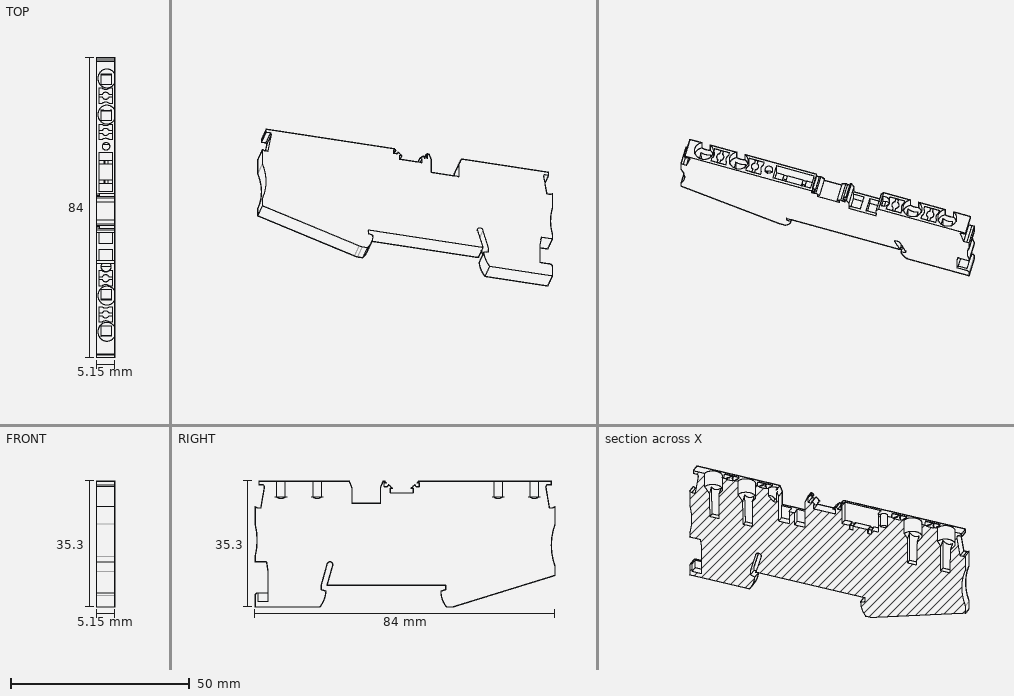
import cadquery as cq

thickness = 5.15
length = 84.0
height = 35.25

cavity_width = 3.7
cavity_center_x = 2.58

lip_inset = 1.1
lip_bottom_z = 34.2
recess_top_inset = 2.6
recess_corner_inset = 2.35
recess_top_z = 33.7
recess_bottom_inset = 1.6
recess_bottom_z = 27.8
shoulder_inset = 0.7
shoulder_z = 28.1

hollow_top_z = 23.2
tail_hollow_bottom_z = 11.4
tail_hollow_depth = 1.05
foot_hollow_bottom_z = 14.2
foot_hollow_depth = 0.55

channel_center_y = 41.05
channel_floor_z = 31.95
channel_half_width = 3.2
channel_ledge_z = 33.2
channel_ledge_offset = 2.55
rib_peak_offset = 3.65
rib_base_offset = 4.1
rib_peak_z = 34.25
groove_floor_z = 33.7
groove_wall_offset = 4.9
barb_tip_offset = 4.3
barb_top_offset = 4.75
barb_tip_z = 34.75
barb_thickness = 0.85

bay_start_y = 27.15
bay_end_y = 35.05
bay_floor_z = 29.1
bay_mouth_z = 33.4
bay_mouth_chamfer = 0.75

tail_bottom_z = 8.85
rail_seat_z = 6.1
rail_start_y = 18.55
rail_end_y = 53.3
hook_neck_z = 4.9
hook_tip_z = 4.5
tail_heel_y = 56.0
tail_heel_z = 0.2
tail_heel_mid_y = 55.55
tail_heel_mid_z = 0.05
tail_heel_end_y = 55.1
tail_toe_y = 53.6
tail_hook_mid_y = 52.5
tail_hook_mid_z = 1.8
tail_hook_tip_y = 52.0
foot_start_y = 18.2
foot_hook_mid_y = 19.4
foot_hook_mid_z = 2.2
foot_hook_tip_y = 19.9
slit_root_y = 20.1
slit_top_start_y = 20.15
slit_top_end_y = 21.75
slit_top_z = 11.85
slit_tip_y = 20.95
slit_tip_z = 12.65
foot_notch_depth = 3.6
foot_notch_top_z = 12.65
foot_notch_bottom_z = 4.0
foot_notch_radius = 0.8
foot_notch_relief = 0.4
foot_notch_relief_z = 10.0

outer_funnel_inset_tail = 5.85
outer_funnel_inset_foot = 7.25
funnel_pitch = 10.13
funnel_center_x = 2.93
funnel_radius_x = 2.48
funnel_radius_y = 2.66
funnel_collar_depth = 4.5
funnel_cone_depth = 2.0
funnel_tip_scale = 0.45
throat_center_x = 2.69
throat_size_x = 2.95
throat_size_y = 3.05
throat_shift = 0.13
throat_lean = 0.4
throat_depth = 14.0

button_offset = 4.85
button_length = 4.3
button_recess = 0.1
button_end_radius = 1.5
button_end_sag = 0.4
button_slot_width = 0.75
button_hole_radius = 1.0
button_slot_depth = 0.3

test_hole_x = 2.7
test_hole_y = 59.15
test_hole_radius = 1.05
test_hole_depth = 4.0
test_hole_ramp_start = 0.5
probe_hole_y = 25.5
probe_hole_radius = 1.4
probe_hole_depth = 4.0
probe_flat_offset = 0.8

jumper_slot_start_y = 46.45
jumper_slot_end_y = 57.4
jumper_slot_depth = 6.0
bay_pocket_length = 3.1
bay_pocket_depth = 4.0
foot_pocket_start_x = 0.6
foot_pocket_depth = 2.5

contact_first_y = 54.75
contact_pitch = 5.55
contact_length = 1.0
contact_pad_depth = 0.3
contact_groove_start_x = 2.1
contact_groove_bottom_x = 2.4
contact_groove_end_x = 3.3
contact_groove_depth = 1.2


def channel_side(side):
    """Snap edges of one channel flank, from the top surface to the floor (side = +1 or -1)."""
    offsets = [
        (barb_top_offset, height),
        (barb_tip_offset, barb_tip_z),
        (groove_wall_offset, barb_tip_z),
        (groove_wall_offset, groove_floor_z),
        (rib_base_offset, groove_floor_z),
        (rib_peak_offset, rib_peak_z),
        (channel_ledge_offset, channel_ledge_z),
        (channel_half_width, channel_ledge_z),
        (channel_half_width, channel_floor_z),
    ]
    return [(channel_center_y + side * offset, z) for offset, z in offsets]


def end_wall(end_y, inward):
    """Lip, recess and shoulder of one end wall, from the top down (inward = +1 or -1)."""
    insets = [
        (lip_inset, height),
        (lip_inset, lip_bottom_z),
        (recess_corner_inset, lip_bottom_z),
        (recess_top_inset, recess_top_z),
        (recess_bottom_inset, recess_bottom_z),
        (shoulder_inset, recess_bottom_z),
        (0, shoulder_z),
        (0, hollow_top_z),
    ]
    return [(end_y + inward * inset, z) for inset, z in insets]


def add_lines(sketch, points):
    for y, z in points:
        sketch = sketch.lineTo(y, z)
    return sketch


def housing_body():
    tail_wall = end_wall(length, -1)
    foot_wall = end_wall(0, 1)
    outline = cq.Workplane("YZ").moveTo(*tail_wall[0])
    outline = add_lines(outline, tail_wall[1:])

    tail_hollow_mid_z = (hollow_top_z + tail_hollow_bottom_z) / 2
    outline = outline.threePointArc(
        (length - tail_hollow_depth, tail_hollow_mid_z), (length, tail_hollow_bottom_z)
    )
    outline = outline.lineTo(length, tail_bottom_z).lineTo(tail_heel_y, tail_heel_z)
    outline = outline.threePointArc((tail_heel_mid_y, tail_heel_mid_z), (tail_heel_end_y, 0))
    outline = outline.lineTo(tail_toe_y, 0)
    outline = outline.threePointArc(
        (tail_hook_mid_y, tail_hook_mid_z), (tail_hook_tip_y, hook_tip_z)
    )
    outline = outline.lineTo(rail_end_y, hook_neck_z).lineTo(rail_end_y, rail_seat_z)

    outline = outline.lineTo(slit_root_y, rail_seat_z).lineTo(slit_top_end_y, slit_top_z)
    outline = outline.threePointArc((slit_tip_y, slit_tip_z), (slit_top_start_y, slit_top_z))
    outline = outline.lineTo(rail_start_y, rail_seat_z).lineTo(rail_start_y, hook_neck_z)
    outline = outline.lineTo(foot_hook_tip_y, hook_tip_z)
    outline = outline.threePointArc((foot_hook_mid_y, foot_hook_mid_z), (foot_start_y, 0))
    outline = outline.lineTo(0, 0)
    outline = outline.lineTo(0, foot_notch_bottom_z - foot_notch_radius)
    outline = outline.tangentArcPoint((foot_notch_radius, foot_notch_bottom_z), relative=False)
    outline = outline.lineTo(foot_notch_depth, foot_notch_bottom_z)
    outline = outline.lineTo(foot_notch_depth, foot_notch_relief_z)
    outline = outline.lineTo(foot_notch_depth - foot_notch_relief, foot_notch_top_z)
    outline = outline.lineTo(0, foot_notch_top_z).lineTo(0, foot_hollow_bottom_z)
    foot_hollow_mid_z = (hollow_top_z + foot_hollow_bottom_z) / 2
    outline = outline.threePointArc((foot_hollow_depth, foot_hollow_mid_z), (0, hollow_top_z))
    outline = add_lines(outline, foot_wall[-2::-1])

    outline = outline.lineTo(bay_start_y - bay_mouth_chamfer, height)
    outline = outline.lineTo(bay_start_y, bay_mouth_z)
    outline = outline.lineTo(bay_start_y, bay_floor_z).lineTo(bay_end_y, bay_floor_z)
    outline = outline.lineTo(bay_end_y, bay_mouth_z)
    outline = outline.lineTo(bay_end_y + bay_mouth_chamfer, height)
    outline = add_lines(outline, channel_side(-1))
    outline = add_lines(outline, channel_side(1)[::-1])
    return outline.close().extrude(thickness)


def wire_funnel(center_y, inward):
    """Oval collar, oval cone and a square throat whose outer wall leans inward."""
    mouth = cq.Workplane("XY", origin=(funnel_center_x, center_y, height))
    collar = mouth.ellipse(funnel_radius_x, funnel_radius_y).extrude(-funnel_collar_depth)
    cone = (
        mouth.workplane(offset=-funnel_collar_depth)
        .ellipse(funnel_radius_x, funnel_radius_y)
        .workplane(offset=-funnel_cone_depth)
        .ellipse(funnel_radius_x * funnel_tip_scale, funnel_radius_y * funnel_tip_scale)
        .loft()
    )
    throat = (
        cq.Workplane("XY", origin=(throat_center_x, center_y + inward * throat_shift, height))
        .rect(throat_size_x, throat_size_y)
        .workplane(offset=-throat_depth)
        .center(0, inward * throat_lean / 2)
        .rect(throat_size_x, throat_size_y - throat_lean)
        .loft()
    )
    return collar.union(cone).union(throat)


def release_button(center_y):
    """Shallow recess with concave ends, with a cross slot and a round screwdriver seat."""
    top = cq.Workplane("XY", origin=(cavity_center_x, center_y, height))
    end_circle_y = button_length / 2 + button_end_radius - button_end_sag
    ends = (
        top.pushPoints([(0, end_circle_y), (0, -end_circle_y)])
        .circle(button_end_radius)
        .extrude(-button_recess)
    )
    recess = top.rect(cavity_width, button_length).extrude(-button_recess).cut(ends)
    slot = top.rect(cavity_width, button_slot_width).extrude(-button_slot_depth)
    seat = top.circle(button_hole_radius).extrude(-button_slot_depth)
    return recess.union(slot).union(seat)


def pocket(start_y, end_y, top_z, depth):
    center_y = (start_y + end_y) / 2
    return (
        cq.Workplane("XY", origin=(cavity_center_x, center_y, top_z))
        .rect(cavity_width, end_y - start_y)
        .extrude(-depth)
    )


def side_opening(start_x, start_y, end_y, start_z, end_z):
    """Box from start_x out through the +X face."""
    return cq.Workplane("XY").box(
        thickness - start_x, end_y - start_y, end_z - start_z, centered=False
    ).translate((start_x, start_y, start_z))


def groove_opening(side):
    """Clears the channel barb everywhere except along the -X face (side = +1 or -1)."""
    edges = [channel_center_y + side * offset for offset in (barb_tip_offset, groove_wall_offset)]
    return side_opening(barb_thickness, min(edges), max(edges), groove_floor_z, height)


def foot_pocket():
    return side_opening(
        foot_pocket_start_x,
        foot_notch_radius,
        foot_notch_depth,
        foot_notch_bottom_z - foot_pocket_depth,
        foot_notch_bottom_z,
    )


def contact(center_y):
    """Recess across the jumper slot floor with a V groove sunk along Y between its pads."""
    floor_z = height - jumper_slot_depth
    start_y = center_y - contact_length / 2
    pads = pocket(start_y, start_y + contact_length, floor_z, contact_pad_depth)
    groove = (
        cq.Workplane("XZ", origin=(0, start_y + contact_length, floor_z - contact_pad_depth))
        .moveTo(contact_groove_start_x, 0)
        .lineTo(contact_groove_bottom_x, -contact_groove_depth)
        .lineTo(contact_groove_end_x, 0)
        .close()
        .extrude(contact_length)
    )
    return pads.union(groove)


def ramped_hole(center_y, radius, depth, ramp_start, ramp_side):
    """Round bore; the floor rises at 45 degrees from ramp_start off centre toward ramp_side."""
    ramp_rise = radius - ramp_start
    bottom_z = height - depth
    bore = cq.Workplane("XY", origin=(test_hole_x, center_y, height)).circle(radius).extrude(-depth)
    ramp = (
        cq.Workplane("YZ")
        .moveTo(center_y + ramp_side * ramp_start, bottom_z)
        .lineTo(center_y + ramp_side * radius, bottom_z)
        .lineTo(center_y + ramp_side * radius, bottom_z + ramp_rise)
        .close()
        .extrude(thickness)
    )
    return bore.cut(ramp)


def test_hole():
    return ramped_hole(test_hole_y, test_hole_radius, test_hole_depth, test_hole_ramp_start, 1)


def probe_hole():
    """Ramped hole with a flat on its +Y side, beside the jumper bay."""
    hole = ramped_hole(probe_hole_y, probe_hole_radius, probe_hole_depth, 0, -1)
    flat_y = probe_hole_y + probe_flat_offset
    beyond_flat = side_opening(0, flat_y, bay_start_y, height - probe_hole_depth, height)
    return hole.cut(beyond_flat)


result = housing_body()

tail_funnel_y = length - outer_funnel_inset_tail
for outer_y, inward in [(tail_funnel_y, -1), (outer_funnel_inset_foot, 1)]:
    for index in range(2):
        funnel_y = outer_y + inward * index * funnel_pitch
        result = result.cut(release_button(funnel_y + inward * button_offset))
        result = result.cut(wire_funnel(funnel_y, inward))

cavities = [
    pocket(jumper_slot_start_y, jumper_slot_end_y, height, jumper_slot_depth),
    pocket(bay_end_y - bay_pocket_length, bay_end_y, bay_floor_z, bay_pocket_depth),
    pocket(bay_start_y, bay_start_y + bay_pocket_length, bay_floor_z, bay_pocket_depth),
    test_hole(),
    probe_hole(),
    foot_pocket(),
    groove_opening(1),
    groove_opening(-1),
    contact(contact_first_y),
    contact(contact_first_y - contact_pitch),
]
for cavity in cavities:
    result = result.cut(cavity)